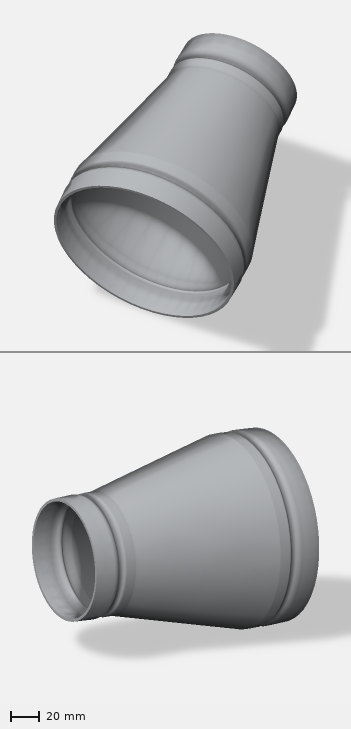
import cadquery as cq
import math

LENGTH = 168.4
WALL = 2.0
JOINT_ROUNDING = 2.0
LARGE_RADIUS = 139.8 / 2
SMALL_RADIUS = 88.9 / 2

SPIGOT_LENGTH = 32.2
LIP_RISE = 0.25
MOUTH_DROP = 0.42
LARGE_GROOVE_DEPTH = LARGE_RADIUS - 134.5 / 2
SMALL_GROOVE_DEPTH = SMALL_RADIUS - 83.2 / 2
LIP_POSITION = 15.0
LIP_ARC = 5.0
ROOT_ARC = 1.7
ROOT_WIDTH = 0.2
COLLAR_ARC = 1.7
LIP_FLANK = math.radians(45)
COLLAR_FLANK = math.radians(55)


def on_arc(center, radius, angle):
    """Point on an arc; the angle is measured from the outward radial direction."""
    return (center[0] + radius * math.cos(angle), center[1] + radius * math.sin(angle))


def flank_run(depth, first_arc, second_arc, angle):
    """Axial length of two tangent arcs joined by a straight flank that drops by depth."""
    arcs = first_arc + second_arc
    straight_drop = depth - arcs * (1 - math.cos(angle))
    return arcs * math.sin(angle) + straight_drop / math.tan(angle)


def spigot_profile(pipe_radius, groove_depth):
    """Half section of a solid grooved spigot, from the axis to its surface."""
    mouth_radius = pipe_radius - MOUTH_DROP
    lip_radius = pipe_radius + LIP_RISE
    root_radius = pipe_radius - groove_depth
    root_start = LIP_POSITION + flank_run(lip_radius - root_radius, LIP_ARC, ROOT_ARC, LIP_FLANK)
    root_end = root_start + ROOT_WIDTH
    collar_position = root_end + flank_run(groove_depth, ROOT_ARC, COLLAR_ARC, COLLAR_FLANK)

    lip_center = (lip_radius - LIP_ARC, LIP_POSITION)
    root_start_center = (root_radius + ROOT_ARC, root_start)
    root_end_center = (root_radius + ROOT_ARC, root_end)
    collar_center = (pipe_radius - COLLAR_ARC, collar_position)
    inward = math.pi

    return (
        cq.Workplane("XY")
        .moveTo(0, 0)
        .lineTo(mouth_radius, 0)
        .lineTo(lip_radius, LIP_POSITION)
        .threePointArc(on_arc(lip_center, LIP_ARC, LIP_FLANK / 2), on_arc(lip_center, LIP_ARC, LIP_FLANK))
        .lineTo(*on_arc(root_start_center, ROOT_ARC, inward + LIP_FLANK))
        .threePointArc(
            on_arc(root_start_center, ROOT_ARC, inward + LIP_FLANK / 2),
            on_arc(root_start_center, ROOT_ARC, inward),
        )
        .lineTo(*on_arc(root_end_center, ROOT_ARC, inward))
        .threePointArc(
            on_arc(root_end_center, ROOT_ARC, inward - COLLAR_FLANK / 2),
            on_arc(root_end_center, ROOT_ARC, inward - COLLAR_FLANK),
        )
        .lineTo(*on_arc(collar_center, COLLAR_ARC, -COLLAR_FLANK))
        .threePointArc(
            on_arc(collar_center, COLLAR_ARC, -COLLAR_FLANK / 2),
            on_arc(collar_center, COLLAR_ARC, 0),
        )
        .lineTo(pipe_radius, SPIGOT_LENGTH)
        .lineTo(0, SPIGOT_LENGTH)
        .close()
    )


def revolve_about_y(profile):
    return profile.revolve(360, (0, 0, 0), (0, 1, 0))


def spigot(pipe_radius, groove_depth):
    """Grooved pipe end, open at Y = 0; its bore has the outer shape moved inward by the wall."""
    outer = revolve_about_y(spigot_profile(pipe_radius, groove_depth))
    bore = revolve_about_y(spigot_profile(pipe_radius - WALL, groove_depth))
    return outer.cut(bore)


def cone():
    """Conical shell from the large spigot to the small one."""
    large_end = SPIGOT_LENGTH
    small_end = LENGTH - SPIGOT_LENGTH
    section = cq.Workplane("XY").polyline([
        (LARGE_RADIUS - WALL, large_end),
        (LARGE_RADIUS, large_end),
        (SMALL_RADIUS, small_end),
        (SMALL_RADIUS - WALL, small_end),
    ]).close()
    return revolve_about_y(section)


large_spigot = spigot(LARGE_RADIUS, LARGE_GROOVE_DEPTH)
small_spigot = spigot(SMALL_RADIUS, SMALL_GROOVE_DEPTH).mirror("XZ").translate((0, LENGTH, 0))

reducer = large_spigot.union(cone()).union(small_spigot)

joint_bands = [
    cq.selectors.BoxSelector(
        (-LENGTH, position - WALL / 2, -LENGTH),
        (LENGTH, position + WALL / 2, LENGTH),
    )
    for position in (SPIGOT_LENGTH, LENGTH - SPIGOT_LENGTH)
]
result = reducer.edges("%CIRCLE").edges(joint_bands[0] + joint_bands[1]).fillet(JOINT_ROUNDING)